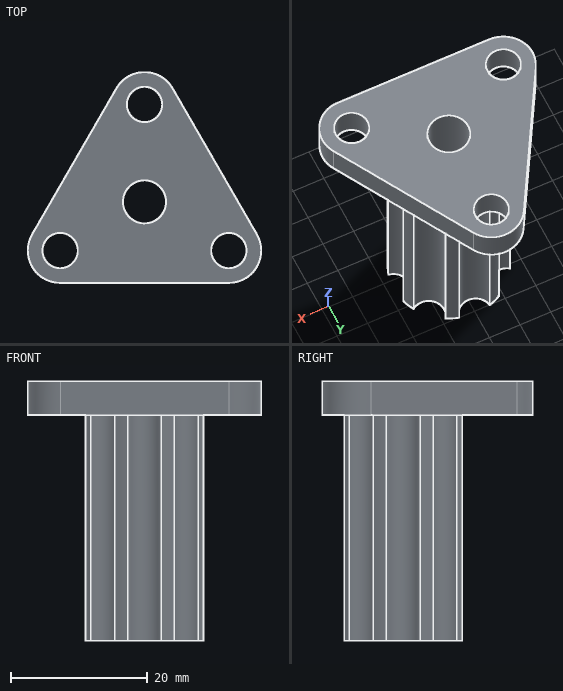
import cadquery as cq
import math

total_height = 38.1
plate_thickness = 5.0
corner_radius = 4.75
bolt_circle_radius = 14.3
bolt_hole_diameter = 5.15
bore_diameter = 6.3
shaft_diameter = 18.02
flute_diameter = 5.0
flute_count = 8
bolt_count = 3

shaft_length = total_height - plate_thickness
shaft_radius = shaft_diameter / 2
bolt_start_angle = 90


def bolt_points():
    """Corner centres of the triangular plate, where the bolt holes sit."""
    angles = [math.radians(bolt_start_angle + i * 360 / bolt_count) for i in range(bolt_count)]
    return [(bolt_circle_radius * math.cos(a), bolt_circle_radius * math.sin(a)) for a in angles]


def make_plate():
    """Rounded triangle: the bolt triangle offset outward by the corner radius."""
    return (
        cq.Workplane("XY")
        .workplane(offset=shaft_length)
        .polyline(bolt_points())
        .close()
        .offset2D(corner_radius, "arc")
        .extrude(plate_thickness)
        .faces(">Z")
        .workplane(origin=(0, 0, total_height))
        .pushPoints(bolt_points())
        .hole(bolt_hole_diameter)
    )


def make_shaft():
    """Round shaft with full-length flutes centred on its rim."""
    flutes = (
        cq.Workplane("XY")
        .polarArray(shaft_radius, 0, 360, flute_count)
        .circle(flute_diameter / 2)
        .extrude(shaft_length)
    )
    return cq.Workplane("XY").circle(shaft_radius).extrude(shaft_length).cut(flutes)


bore = cq.Workplane("XY").circle(bore_diameter / 2).extrude(total_height)
result = make_plate().union(make_shaft()).cut(bore)